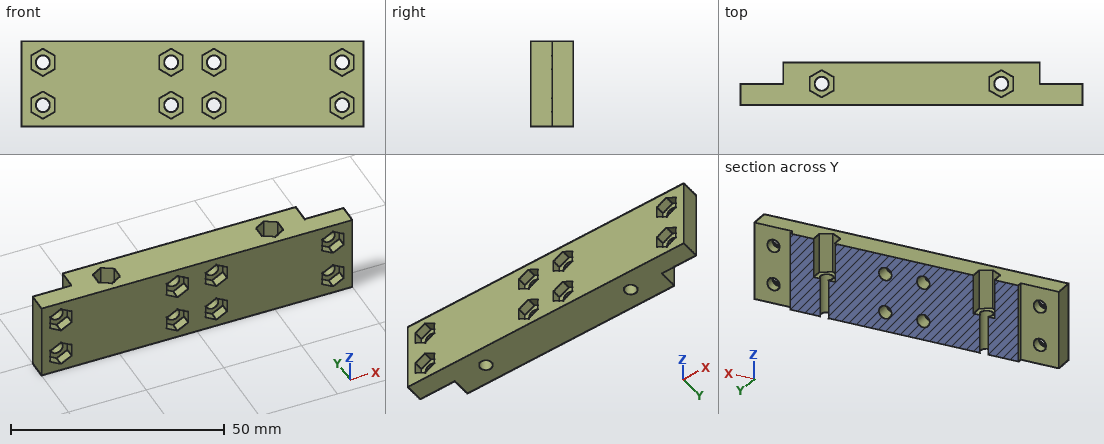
import cadquery as cq
import math

length = 80.0
height = 20.0
depth = 10.0
plate_thickness = depth / 2
block_length = 60.0

hole_diameter = 3.2
nut_across_flats = 5.5
nut_across_corners = nut_across_flats / math.cos(math.pi / 6)
front_pocket_depth = 2.4
top_pocket_depth = height / 2

hole_pitch_z = height / 2
inner_pitch_x = height / 2
outer_pitch_x = block_length + inner_pitch_x
top_pitch_x = 42.0

front_points = [
    (side * pitch / 2, row * hole_pitch_z / 2)
    for pitch in (inner_pitch_x, outer_pitch_x)
    for side in (-1, 1)
    for row in (-1, 1)
]
top_points = [(side * top_pitch_x / 2, plate_thickness) for side in (-1, 1)]


def nut_hole_cutter(plane, points, through_length, pocket_depth):
    """Bolt holes and hexagonal pockets sunk from a plane whose normal points out of the part."""
    holes = cq.Workplane(plane).pushPoints(points).circle(hole_diameter / 2).extrude(-through_length)
    corner_radius = nut_across_corners / 2
    corner_angles = [math.pi / 2 + i * math.pi / 3 for i in range(6)]
    corners = [(corner_radius * math.cos(a), corner_radius * math.sin(a)) for a in corner_angles]
    hexagon = cq.Sketch().polygon(corners + corners[:1])
    pockets = cq.Workplane(plane).pushPoints(points).placeSketch(hexagon).extrude(-pocket_depth)
    return holes.union(pockets)


plate = cq.Workplane().box(length, plate_thickness, height, centered=(True, False, True))
block = cq.Workplane().box(block_length, depth, height, centered=(True, False, True))
body = plate.union(block)

front_plane = cq.Plane.XZ()
top_plane = cq.Plane.XY(origin=(0, 0, height / 2))
front_cutter = nut_hole_cutter(front_plane, front_points, depth, front_pocket_depth)
top_cutter = nut_hole_cutter(top_plane, top_points, height, top_pocket_depth)

result = body.cut(front_cutter).cut(top_cutter)